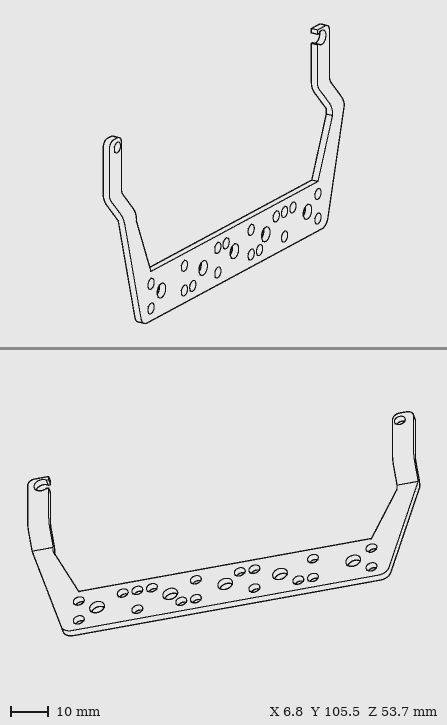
import cadquery as cq
import math

length = 105.5
height = 53.7
depth = 6.8
sheet = 2.0

bar_height = 14.0
bottom_width = 88.4
arm_width = 5.8
bend_z = 32.0
inner_shoulder_z = 30.5
bottom_radius = 3.0
tip_radius = 2.0

bend_angle = 45.0
inner_bend_radius = sheet
outer_bend_radius = inner_bend_radius + sheet

hole_span = 80.0
pitch_count = 20
hole_pitch = hole_span / pitch_count
row_spacing = 7.0
small_diameter = 3.0
large_diameter = 4.0
upper_columns = [-10, -6, -2, -1, 2, 5, 6, 7, 10]
lower_columns = [-10, -6, -5, -2, 2, 3, 6, 10]
large_columns = [-8.75, -3.75, 0, 3.75, 8.75]

pivot_side_inset = 3.8
pivot_top_inset = 2.7
pivot_y = length / 2 - pivot_side_inset
pivot_z = height - pivot_top_inset
hook_opening = small_diameter

back_x = depth / 2
front_x = -back_x
inner_y = length / 2 - arm_width


def bent_sheet():
    """Joggled strip as wide as the whole part; the -X side of the lower bend stays sharp."""
    angle = math.radians(bend_angle)
    slope = math.tan(angle)
    ramp_thickness = sheet / math.cos(angle)

    lower_front = (back_x - sheet, bend_z)
    upper_front = (front_x, bend_z + (depth - sheet) * slope)
    lower_back = (back_x, bend_z + ramp_thickness - sheet * slope)
    upper_back = (front_x + sheet, upper_front[1] + ramp_thickness - sheet * slope)

    strip = (
        cq.Workplane("XZ")
        .polyline([
            (back_x - sheet, 0),
            (back_x, 0),
            lower_back,
            upper_back,
            (front_x + sheet, height),
            (front_x, height),
            upper_front,
            lower_front,
        ])
        .close()
        .extrude(length / 2, both=True)
    )
    bends = [
        (lower_back, outer_bend_radius),
        (upper_front, outer_bend_radius),
        (upper_back, inner_bend_radius),
    ]
    for (x, z), radius in bends:
        strip = strip.edges(cq.selectors.NearestToPointSelector((x, 0, z))).fillet(radius)
    return strip


def outline():
    """Bracket outline in the YZ plane, extruded through the full depth."""
    half_outline = [
        (bottom_width / 2, 0),
        (length / 2, bend_z),
        (length / 2, height),
        (inner_y, height),
        (inner_y, inner_shoulder_z),
        (hole_span / 2, bar_height),
    ]
    mirrored = [(-y, z) for y, z in reversed(half_outline)]
    body = cq.Workplane("YZ").polyline(half_outline + mirrored).close().extrude(depth / 2, both=True)

    body = round_corners(body, [(-bottom_width / 2, 0), (bottom_width / 2, 0)], bottom_radius)
    tip_corners = [(-length / 2, height), (-inner_y, height), (length / 2, height)]
    return round_corners(body, tip_corners, tip_radius)


def round_corners(body, corners, radius):
    """Fillet the X-direction edges that pass through the given (y, z) corners."""
    for y, z in corners:
        body = body.edges(cq.selectors.NearestToPointSelector((0, y, z))).fillet(radius)
    return body


def hole_cutters(points, diameter):
    return cq.Workplane("YZ").pushPoints(points).circle(diameter / 2).extrude(depth, both=True)


def hole_row(columns, z):
    return [(column * hole_pitch, z) for column in columns]


middle_z = bar_height / 2
upper_row = hole_row(upper_columns, middle_z + row_spacing / 2)
lower_row = hole_row(lower_columns, middle_z - row_spacing / 2)
large_row = hole_row(large_columns, middle_z)

small_holes = hole_cutters(upper_row + lower_row + [(-pivot_y, pivot_z)], small_diameter)
large_holes = hole_cutters(large_row + [(pivot_y, pivot_z)], large_diameter)

hook_slot = (
    cq.Workplane("YZ")
    .center(pivot_y - arm_width / 2, pivot_z)
    .rect(arm_width, hook_opening)
    .extrude(depth, both=True)
)

result = bent_sheet().intersect(outline()).cut(small_holes).cut(large_holes).cut(hook_slot)